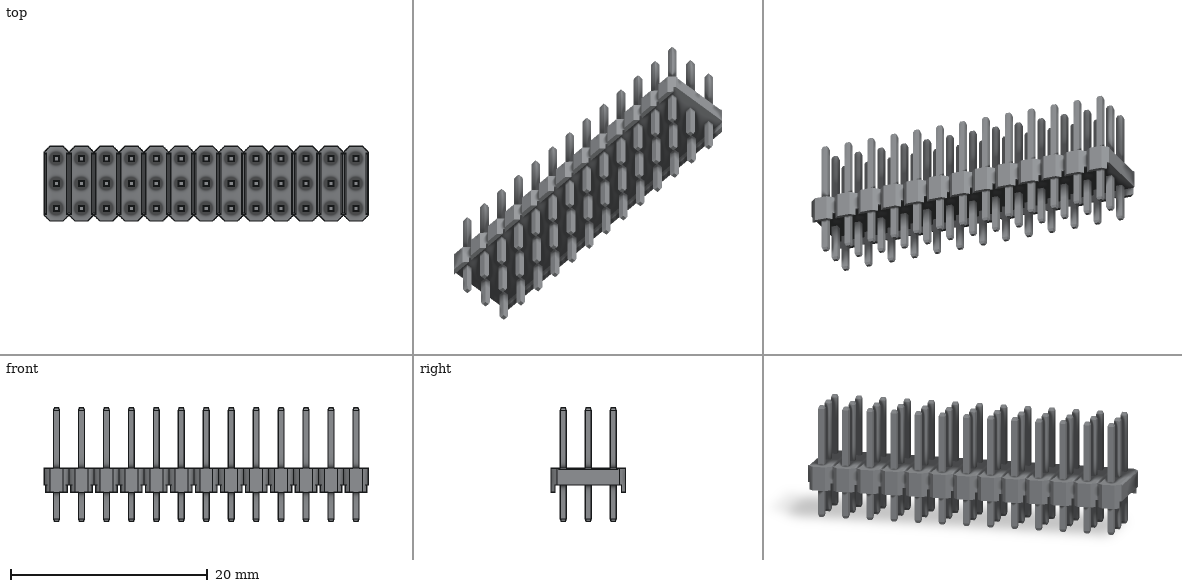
import cadquery as cq

length = 33.02
columns = 13
rows = 3
pitch = length / columns
width = rows * pitch

body_bottom = 2.97
body_height = 2.48
body_top = body_bottom + body_height
end_face_length = 1.32
corner_leg = (pitch - end_face_length) / 2
waist_width = width - 2 * corner_leg

foot_height = 0.73
foot_gap = 0.33
foot_depth = corner_leg - foot_gap / 2

groove_width = 0.45
groove_depth = 0.13
groove_floor_width = groove_width - 2 * groove_depth
groove_end_margin = 0.05
groove_length = waist_width - 2 * groove_end_margin
groove_floor_length = groove_length - 2 * groove_depth

pin_height = 11.6
pin_size = 0.63
tip_size = 0.43
tip_height = 0.25

column_positions = [(i - (columns - 1) / 2) * pitch for i in range(columns)]
row_positions = [(j - (rows - 1) / 2) * pitch for j in range(rows)]
joint_positions = [(i - columns / 2) * pitch for i in range(columns + 1)]
pin_positions = [(x, y) for x in column_positions for y in row_positions]


def make_blocks():
    """Row of octagonal blocks, one per column, touching at their waists."""
    block = (
        cq.Workplane("XY")
        .box(pitch, width, body_height, centered=(True, True, False))
        .edges("|Z")
        .chamfer(corner_leg)
    )
    blocks = cq.Workplane("XY")
    for x in column_positions:
        blocks = blocks.union(block.translate((x, 0, body_bottom)))
    return blocks


def cut_underside(body):
    """Open a channel along the row and a gap between neighbouring feet."""
    channel = (
        cq.Workplane("XY", origin=(0, 0, body_bottom))
        .box(length, width - 2 * foot_depth, foot_height, centered=(True, True, False))
    )
    gaps = (
        cq.Workplane("XY", origin=(0, 0, body_bottom))
        .pushPoints([(x, 0) for x in joint_positions])
        .rect(foot_gap, width)
        .extrude(foot_height)
    )
    return body.cut(channel).cut(gaps)


def cut_grooves(body):
    """Cut a groove with sloping sides and ends over every joint and both end faces."""
    groove = (
        cq.Workplane("XY", origin=(0, 0, body_top - groove_depth))
        .rect(groove_floor_width, groove_floor_length)
        .workplane(offset=groove_depth)
        .rect(groove_width, groove_length)
        .loft(combine=True, ruled=True)
    )
    for x in joint_positions:
        body = body.cut(groove.translate((x, 0, 0)))
    return body


def make_pins():
    """Square pins that narrow to a smaller square at both ends."""
    shank = (
        cq.Workplane("XY", origin=(0, 0, tip_height))
        .rect(pin_size, pin_size)
        .extrude(pin_height - 2 * tip_height)
    )
    top_tip = (
        shank.faces(">Z")
        .workplane()
        .rect(pin_size, pin_size)
        .workplane(offset=tip_height)
        .rect(tip_size, tip_size)
        .loft(combine=False)
    )
    mid_height = (0, 0, pin_height / 2)
    pin = shank.union(top_tip).union(top_tip.mirror("XY", mid_height))
    return [pin.translate((x, y, 0)) for x, y in pin_positions]


body_with_grooves = cut_grooves(cut_underside(make_blocks()))
pin_solids = [pin.val() for pin in make_pins()]
result = cq.Workplane("XY").newObject([body_with_grooves.val().fuse(*pin_solids)])